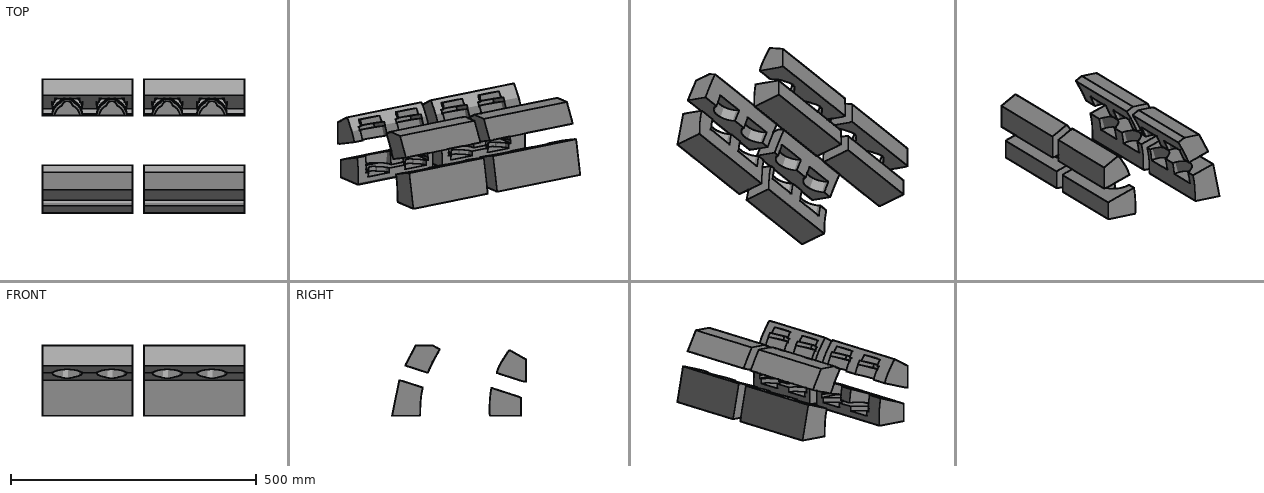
import cadquery as cq
import math


total_length = 411.5
left_length = 183.5
right_length = 205.0
left_first_hole = 50.5
right_first_hole = 254.5
hole_pitch = 90.5
left_start = 0.0
right_start = total_length - right_length

parting_tilt = math.radians(18.0)
back_upper_edge = (212.8, 87.3)
back_lower_edge = (202.0, 57.2)
front_upper_edge = (73.0, 87.3)
front_lower_edge = (63.0, 57.5)

back_outer_y = 273.0
back_lower_outer_y = 262.5
overall_height = 143.2

back_wall_y = 198.5
front_wall_y = 58.0
upright_top = 16.5
foot_bevel_y = 1.2
foot_bevel_z = 4.0

bore_radius = 30.5
lobe_radius = 17.0
lobe_offset = 17.5
neck_radius = 5.8

seat_bore_radius = 26.5
seat_lobe_radius = 10.3
seat_lobe_offset = 23.0

slot_half_width = 31.3
slot_reach = 43.2

upper_keyhole_depth = 20.5
upper_slot_height = 8.5
upper_seat_height = 13.5

lower_slot_roof = 29.2
lower_slot_floor = 22.5
lower_seat_floor = 13.0
lower_seat_shift = -3.0

front_bore_radius = 31.5
front_bore_offset = 8.5
front_bore_depth = 24.5

mouth_overrun = 16.5


def on_parting(edge, y):
    """Point at `y` on the parting face that starts at `edge`."""
    return (y, edge[1] - (y - edge[0]) * math.tan(parting_tilt))



def back_upper_outline():
    return (
        cq.Workplane("YZ")
        .moveTo(back_outer_y, 115.0)
        .lineTo(back_outer_y, 69.0)
        .lineTo(*on_parting(back_upper_edge, 265.5))
        .lineTo(*back_upper_edge)
        .threePointArc((219.0, 103.0), (227.5, 117.5))
        .lineTo(235.5, 129.5)
        .lineTo(239.5, 133.8)
        .close()
    )


def back_lower_outline():
    return (
        cq.Workplane("YZ")
        .moveTo(back_lower_outer_y, 0)
        .lineTo(back_wall_y + foot_bevel_y, 0)
        .lineTo(back_wall_y, foot_bevel_z)
        .lineTo(back_wall_y, upright_top)
        .tangentArcPoint(back_lower_edge, relative=False)
        .lineTo(*on_parting(back_lower_edge, 257.5))
        .lineTo(back_lower_outer_y, 36.5)
        .close()
    )


def front_upper_outline():
    return (
        cq.Workplane("YZ")
        .moveTo(97.5, 135.5)
        .lineTo(83.0, overall_height)
        .lineTo(48.0, overall_height)
        .lineTo(*on_parting(front_upper_edge, 26.8))
        .lineTo(*front_upper_edge)
        .threePointArc((84.0, 111.0), (97.5, 135.5))
        .close()
    )


def front_lower_outline():
    return (
        cq.Workplane("YZ")
        .moveTo(0, 0)
        .lineTo(front_wall_y - foot_bevel_y, 0)
        .lineTo(front_wall_y, foot_bevel_z)
        .lineTo(front_wall_y, upright_top)
        .tangentArcPoint(front_lower_edge, relative=False)
        .lineTo(*on_parting(front_lower_edge, 20.5))
        .lineTo(15.0, 72.5)
        .close()
    )



def parting_plane(x, edge):
    """Plane on a parting face: local x is X, local y falls toward +Y."""
    normal = (0, math.sin(parting_tilt), math.cos(parting_tilt))
    return cq.Plane(origin=(x, *edge), xDir=(1, 0, 0), normal=normal)


def level_plane(x, y, z):
    return cq.Plane(origin=(x, y, z), xDir=(1, 0, 0), normal=(0, 0, 1))


def keyhole_profile(plane, bore, lobe, offset):
    """Bore circle at the origin and lobe circle at `offset`, joined by tangent neck arcs."""
    to_bore = bore + neck_radius
    to_lobe = lobe + neck_radius
    neck_y = (offset**2 + to_bore**2 - to_lobe**2) / (2 * offset)
    neck_x = math.sqrt(to_bore**2 - neck_y**2)
    bore_x = neck_x * bore / to_bore
    bore_y = neck_y * bore / to_bore
    lobe_x = neck_x * lobe / to_lobe
    lobe_y = offset + (neck_y - offset) * lobe / to_lobe
    return (
        cq.Workplane(plane)
        .moveTo(bore_x, bore_y)
        .threePointArc((0, -bore), (-bore_x, bore_y))
        .radiusArc((-lobe_x, lobe_y), -neck_radius)
        .threePointArc((0, offset + lobe), (lobe_x, lobe_y))
        .radiusArc((bore_x, bore_y), -neck_radius)
        .close()
    )


def main_keyhole(plane):
    return keyhole_profile(plane, bore_radius, lobe_radius, lobe_offset)


def seat_keyhole(plane):
    return keyhole_profile(plane, seat_bore_radius, seat_lobe_radius, seat_lobe_offset)


def slot(plane, x_start, x_end, height):
    """Slot that is open to the passage and reaches `slot_reach` past the bore axis."""
    size_y = bore_radius + slot_reach
    return (
        cq.Workplane(plane)
        .center((x_start + x_end) / 2, slot_reach - size_y / 2)
        .rect(x_end - x_start, size_y)
        .extrude(height)
    )



def back_upper_hole(x):
    """Straight keyhole, wider slot and smaller seat, all along the parting face's normal."""
    plane = parting_plane(x, back_upper_edge)
    slot_plane = cq.Workplane(plane).workplane(offset=upper_keyhole_depth).plane
    slot_end = upper_keyhole_depth + upper_slot_height
    mouth = main_keyhole(plane).extrude(-mouth_overrun)
    keyhole = main_keyhole(plane).extrude(upper_keyhole_depth)
    wide_slot = slot(slot_plane, -slot_half_width, slot_half_width, upper_slot_height)
    seat = seat_keyhole(plane).extrude(slot_end + upper_seat_height)
    return mouth.union(keyhole).union(wide_slot).union(seat)


bend_radius = (back_lower_edge[1] - lower_slot_roof) / math.sin(parting_tilt)
bend_end_y = back_lower_edge[0] - bend_radius * (1 - math.cos(parting_tilt))


def back_lower_hole(x):
    """Bent keyhole and the upright seat below it."""
    plane = parting_plane(x, back_lower_edge)
    mouth = main_keyhole(plane).extrude(mouth_overrun)
    keyhole = main_keyhole(plane).revolve(
        math.degrees(parting_tilt), (0, bend_radius, 0), (1, bend_radius, 0)
    )
    seat_plane = level_plane(x, bend_end_y + lower_seat_shift, lower_seat_floor)
    seat = seat_keyhole(seat_plane).extrude(lower_slot_roof - lower_seat_floor)
    return mouth.union(keyhole).union(seat)


def back_lower_slot(first_hole):
    """Level slot that joins the two holes of a pad."""
    plane = level_plane(first_hole, bend_end_y, lower_slot_floor)
    height = lower_slot_roof - lower_slot_floor
    return slot(plane, -slot_half_width, hole_pitch + slot_half_width, height)


def front_bore(x, edge, direction):
    """Round bore into a front pad; `direction` is +1 for an upper and -1 for a lower pad."""
    plane = parting_plane(x, edge)
    start = cq.Workplane(plane).workplane(offset=-direction * mouth_overrun)
    length = direction * (front_bore_depth + mouth_overrun)
    return start.center(0, front_bore_offset).circle(front_bore_radius).extrude(length)



def bar(outline, start, length):
    return outline.extrude(length).translate((start, 0, 0))


def hole_places(first_hole):
    return (first_hole, first_hole + hole_pitch)


def back_upper_pad(start, length, first_hole):
    pad = bar(back_upper_outline(), start, length)
    for x in hole_places(first_hole):
        pad = pad.cut(back_upper_hole(x))
    return pad


def back_lower_pad(start, length, first_hole):
    pad = bar(back_lower_outline(), start, length).cut(back_lower_slot(first_hole))
    for x in hole_places(first_hole):
        pad = pad.cut(back_lower_hole(x))
    return pad


def front_upper_pad(start, length, first_hole):
    pad = bar(front_upper_outline(), start, length)
    for x in hole_places(first_hole):
        pad = pad.cut(front_bore(x, front_upper_edge, 1))
    return pad


def front_lower_pad(start, length, first_hole):
    pad = bar(front_lower_outline(), start, length)
    for x in hole_places(first_hole):
        pad = pad.cut(front_bore(x, front_lower_edge, -1))
    return pad


pads = []
for section in (
    (left_start, left_length, left_first_hole),
    (right_start, right_length, right_first_hole),
):
    for make_pad in (back_upper_pad, back_lower_pad, front_upper_pad, front_lower_pad):
        pads.append(make_pad(*section).val())

result = cq.Compound.makeCompound(pads)